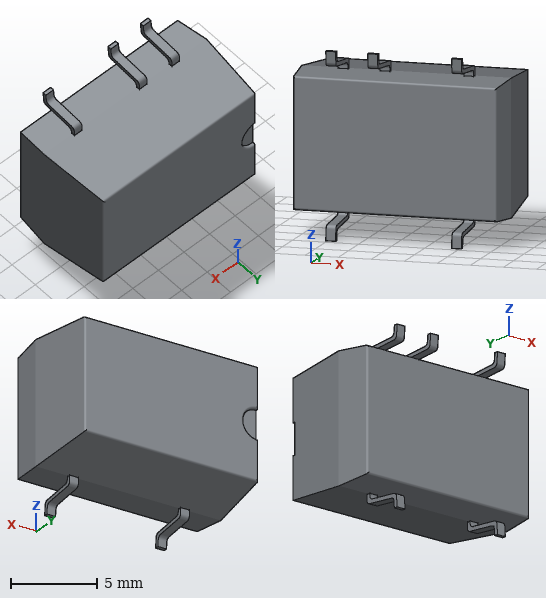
import cadquery as cq
import math


BODY_LENGTH = 12.7
BODY_HEIGHT = 8.28
BACK_DEPTH = 4.67
FRONT_DEPTH = 2.32
DRAFT_ANGLE = 5.0
EDGE_RADIUS = 0.13

NOTCH_RADIUS = 1.0
NOTCH_DEPTH = 0.25

LEAD_WIDTH = 0.6
LEAD_THICKNESS = 0.25
LEAD_SPAN = 11.2
LEAD_REACH = 2.58
LEG_OFFSET = 4.75
LEAD_TILT = 5.0
BEND_RADIUS = 0.25
SEAT_DEPTH = 0.25
LEAD_PITCH = 2.54
TOP_LEAD_POSITIONS = (-1.5 * LEAD_PITCH, -0.5 * LEAD_PITCH, 1.5 * LEAD_PITCH)
BOTTOM_LEAD_POSITIONS = (-1.5 * LEAD_PITCH, 1.5 * LEAD_PITCH)


def drafted_half(depth, direction):
    """Tapered block from the parting plane; direction is +1 for +Y and -1 for -Y."""
    plane = cq.Plane(origin=(0, 0, 0), xDir=(1, 0, 0), normal=(0, direction, 0))
    return cq.Workplane(plane).rect(BODY_LENGTH, BODY_HEIGHT).extrude(depth, taper=DRAFT_ANGLE)


def make_notch():
    """Cylinder centred on the -X edge of the +Y face."""
    edge_x = -BODY_LENGTH / 2 + BACK_DEPTH * math.tan(math.radians(DRAFT_ANGLE))
    floor_y = BACK_DEPTH - NOTCH_DEPTH
    axis = cq.Vector(0, 1, 0)
    return cq.Solid.makeCylinder(NOTCH_RADIUS, NOTCH_DEPTH, cq.Vector(edge_x, floor_y, 0), axis)


def make_housing(leads):
    body = drafted_half(BACK_DEPTH, 1).union(drafted_half(FRONT_DEPTH, -1))
    body = body.cut(cq.Workplane(make_notch()))
    body = body.faces(">Y or <Y").edges().fillet(EDGE_RADIUS)
    for lead in leads:
        body = body.cut(lead)
    return body


def bend_corner(leg_offset, foot_offset):
    """Point where a leg face, z = leg_offset - y * slope, meets a foot face, y = foot_offset - z * slope."""
    slope = math.tan(math.radians(LEAD_TILT))
    y = (foot_offset - leg_offset * slope) / (1 - slope**2)
    return y, leg_offset - y * slope


def make_top_lead(x):
    """Z-shaped strip: stem out of the housing, leg towards -Y, foot turned up."""
    slope = math.tan(math.radians(LEAD_TILT))
    half_thickness = LEAD_THICKNESS / 2
    slanted_thickness = LEAD_THICKNESS / math.cos(math.radians(LEAD_TILT))
    tip_z = LEAD_SPAN / 2
    seat_z = BODY_HEIGHT / 2 - SEAT_DEPTH

    leg_inner = LEG_OFFSET - slanted_thickness
    foot_outer = -LEAD_REACH + tip_z * slope
    foot_inner = foot_outer + slanted_thickness

    stem_outer_bend = (half_thickness, LEG_OFFSET - half_thickness * slope)
    stem_inner_bend = (-half_thickness, leg_inner + half_thickness * slope)
    outline = [
        (half_thickness, seat_z),
        stem_outer_bend,
        bend_corner(LEG_OFFSET, foot_inner),
        (-LEAD_REACH + slanted_thickness, tip_z),
        (-LEAD_REACH, tip_z),
        bend_corner(leg_inner, foot_outer),
        stem_inner_bend,
        (-half_thickness, seat_z),
    ]
    strip = cq.Workplane("YZ", origin=(x, 0, 0)).polyline(outline).close()
    strip = strip.extrude(LEAD_WIDTH / 2, both=True)
    bends = cq.selectors.BoxSelector(
        (x - LEAD_WIDTH, -2 * LEAD_REACH, seat_z + half_thickness),
        (x + LEAD_WIDTH, LEAD_REACH, tip_z - half_thickness),
    )
    return strip.edges("|X").edges(bends).fillet(BEND_RADIUS)


def make_bottom_lead(x):
    return make_top_lead(x).mirror("XY")


leads = []
for position in TOP_LEAD_POSITIONS:
    leads.append(make_top_lead(position))
for position in BOTTOM_LEAD_POSITIONS:
    leads.append(make_bottom_lead(position))

housing = make_housing(leads)

result = cq.Compound.makeCompound([housing.val(), *[lead.val() for lead in leads]])